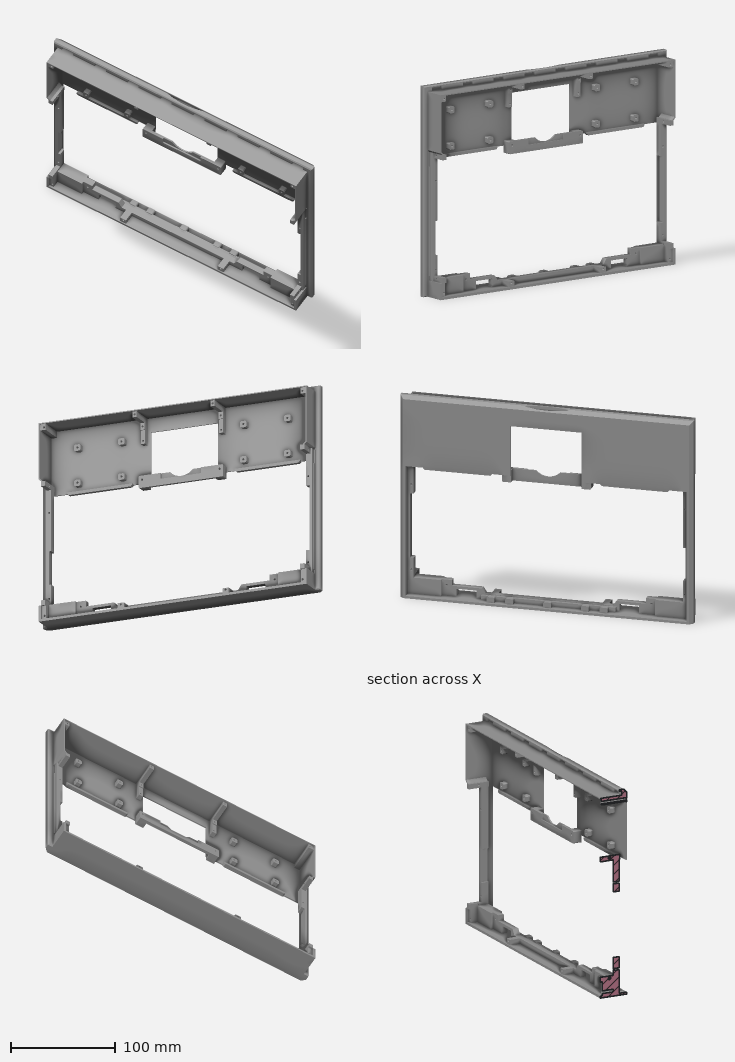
import cadquery as cq

FRAME_WIDTH = 290.0
FRAME_HEIGHT = 205.52
TOTAL_DEPTH = 29.0
BEZEL_DEPTH = 8.7
BEZEL_FRONT_CHAMFER = 3.5
BEZEL_BACK_CHAMFER = 1.0

BODY_HALF_WIDTH = 140.0
BODY_TOP = 199.8
WALL = 1.0
FLOOR = 2.4
LOWER_WALL = 2.4
LOWER_WALL_TOP = 16.0
UPPER_WALL_BOTTOM = 143.0

PLATE_DEPTH = 1.2
PLATE_BOTTOM = 134.2
WINDOW_HALF_WIDTH = 35.0
WINDOW_TOP = 184.6

BLOCK_OUTER = BODY_HALF_WIDTH - LOWER_WALL
BLOCK_BOTTOM = 136.0
BLOCK_TOP = 141.0

RAIL_INNER = 133.2
RAIL_OUTER = 139.2
RAIL_FRONT = 8.0
RAIL_BACK = 15.0
LEFT_NOTCH_X = 135.6
LEFT_NOTCH_Z = (40.8, 74.4)
RIGHT_NOTCH_X = 136.6
RIGHT_NOTCH_Z = (39.0, 104.0)

SCREW_HOLE = 2.2
SMALL_HOLE = 2.0


def block(x_range, depth_range, z_range):
    """Box between two X values, two depths behind the display face and two heights."""
    x0, x1 = sorted(x_range)
    d0, d1 = depth_range
    z0, z1 = z_range
    return cq.Workplane("XY").box(x1 - x0, d1 - d0, z1 - z0, centered=False).translate((x0, -d1, z0))


def prism(outline, depth_range):
    """Extrude a closed X-Z outline between two depths."""
    d0, d1 = depth_range
    return cq.Workplane("XZ", origin=(0, -d0, 0)).polyline(outline).close().extrude(d1 - d0)


def hole(x, z, diameter, depth_range):
    """Cylinder along Y used to cut a screw hole."""
    d0, d1 = depth_range
    return cq.Workplane("XZ", origin=(x, -d0, z)).circle(diameter / 2).extrude(d1 - d0)


def mirrored(shape):
    """The shape together with its mirror image across X = 0."""
    return shape.union(shape.mirror("YZ"))


def bezel():
    """Outer ring, bevelled on the front at the top and sides and broken on the back edge."""
    half = FRAME_WIDTH / 2
    ring = block((-half, half), (0, BEZEL_DEPTH), (0, FRAME_HEIGHT))
    ring = ring.faces(">Y").edges("not <Z").chamfer(BEZEL_FRONT_CHAMFER)
    ring = ring.faces("<Y").edges().chamfer(BEZEL_BACK_CHAMFER)
    inner = BODY_HALF_WIDTH - WALL
    opening = block((-inner, inner), (0, BEZEL_DEPTH), (FLOOR, BODY_TOP - WALL))
    return ring.cut(opening)


def thumb_scoop():
    """Lens-shaped finger groove sunk from above into the middle of the top bevel."""
    half_width = 22.0
    tip_depth, front_depth, back_depth = 2.8, 1.2, 6.1
    sink = 4.5
    lens = cq.Workplane("XY", origin=(0, 0, FRAME_HEIGHT - sink)).moveTo(-half_width, -tip_depth)
    lens = lens.threePointArc((0, -front_depth), (half_width, -tip_depth))
    lens = lens.threePointArc((0, -back_depth), (-half_width, -tip_depth))
    return lens.close().extrude(sink)


def latch_pockets():
    """Eight evenly spaced pockets in the back of the top bezel strip."""
    count = 8
    pitch = 36.9
    half_width = 6.2
    height = 3.7
    depth = 3.0
    depths = (BEZEL_DEPTH - depth, BEZEL_DEPTH)
    heights = (BODY_TOP, BODY_TOP + height)
    pockets = cq.Workplane("XY")
    for index in range(count):
        x = (index - (count - 1) / 2) * pitch
        pockets = pockets.union(block((x - half_width, x + half_width), depths, heights))
    return pockets


def body_walls():
    """Top wall, upper side walls, floor and lower side walls of the housing."""
    w = BODY_HALF_WIDTH
    depths = (BEZEL_DEPTH - BEZEL_BACK_CHAMFER, TOTAL_DEPTH)
    walls = block((-w, w), depths, (BODY_TOP - WALL, BODY_TOP))
    walls = walls.union(block((-w, w), (0, TOTAL_DEPTH), (0, FLOOR)))
    side = block((-w, WALL - w), depths, (UPPER_WALL_BOTTOM, BODY_TOP))
    side = side.union(block((-w, LOWER_WALL - w), depths, (0, LOWER_WALL_TOP)))
    return walls.union(mirrored(side))


def panel_plate():
    """Thin plate across the upper part, open at the central window, with stiffening lips below."""
    edge = BODY_HALF_WIDTH - WALL
    plate = block((-edge, edge), (0, PLATE_DEPTH), (PLATE_BOTTOM, BODY_TOP - WALL))
    window_x = (-WINDOW_HALF_WIDTH, WINDOW_HALF_WIDTH)
    plate = plate.cut(block(window_x, (0, PLATE_DEPTH), (PLATE_BOTTOM, WINDOW_TOP)))
    lip_start, lip_end = -121.7, -53.5
    lip_bottom, lip_top = 132.3, 135.2
    lip_corner = 1.5
    lip_depth = 4.0
    lip = block((lip_start, lip_end), (0, lip_depth), (lip_bottom, lip_top))
    lip = lip.edges("|Y and <Z").chamfer(lip_corner)
    return plate.union(mirrored(lip))


def plate_bosses():
    """Square screw bosses on the plate."""
    size = 6.5
    height = 6.5
    corner = 1.0
    bosses = cq.Workplane("XY")
    for x in (-109.7, -63.7):
        for z in (142.6, 178.0):
            boss = block((x - size / 2, x + size / 2), (PLATE_DEPTH, height), (z - size / 2, z + size / 2))
            boss = boss.edges("|Y").chamfer(corner)
            bosses = bosses.union(boss.cut(hole(x, z, SCREW_HOLE, (PLATE_DEPTH, height))))
    return mirrored(bosses)


def window_posts():
    """Stepped screw posts beside the window, deepest under the top wall."""
    x_range = (-43.0, -38.6)
    centre = sum(x_range) / 2
    bottom, step, top_block = 172.2, 186.0, 193.0
    low_depth, high_depth = 7.0, 27.0
    post = block(x_range, (0, low_depth), (bottom, BODY_TOP - WALL))
    post = post.union(block(x_range, (0, low_depth + WALL), (step, top_block)))
    post = post.union(block(x_range, (0, high_depth), (top_block, BODY_TOP - WALL)))
    for z in (175.3, 189.3, 195.8):
        post = post.cut(hole(centre, z, SMALL_HOLE, (PLATE_DEPTH, TOTAL_DEPTH)))
    return mirrored(post)


def window_bridge():
    """Bar below the window, thinned at its middle and dipped by an arc."""
    half_length = 44.0
    bottom, top = 127.1, 139.4
    back, front = 10.0, 7.0
    end_front = 1.0
    corner = 1.0
    bar = block((-half_length, half_length), (end_front, back), (bottom, top)).edges("|Y").fillet(corner)
    bar = bar.cut(block((-WINDOW_HALF_WIDTH, WINDOW_HALF_WIDTH), (end_front, front), (bottom, top)))
    recess_half, recess_bottom, recess_depth = 21.0, 133.5, 1.5
    bar = bar.cut(block((-recess_half, recess_half), (back - recess_depth, back), (recess_bottom, top)))
    dip_half, dip = 12.0, 5.3
    radius = (dip_half**2 + dip**2) / (2 * dip)
    bar = bar.cut(hole(0, top - dip + radius, 2 * radius, (end_front, back)))
    hole_x, hole_z = 40.5, 135.2
    for x in (-hole_x, hole_x):
        bar = bar.cut(hole(x, hole_z, SCREW_HOLE, (end_front, back)))
    return bar


def corner_bosses():
    """Screw bosses in the corners and end blocks of the side walls, with cross pin holes."""
    top_z = 192.6
    top_hole_x, top_hole_z = -135.0, 195.2
    low_hole_x, low_hole_z = -134.7, 5.8
    ramp_end = -136.0
    edge = BODY_HALF_WIDTH - WALL
    top = block((-edge, -RAIL_INNER), (0, TOTAL_DEPTH - WALL), (top_z, BODY_TOP - WALL))
    top = top.cut(hole(top_hole_x, top_hole_z, SCREW_HOLE, (PLATE_DEPTH, TOTAL_DEPTH)))
    wall_end_outline = [
        (-BODY_HALF_WIDTH, UPPER_WALL_BOTTOM),
        (-edge, UPPER_WALL_BOTTOM + WALL),
        (ramp_end, BLOCK_TOP),
        (-RAIL_INNER, BLOCK_TOP),
        (-RAIL_INNER, BLOCK_BOTTOM),
        (-BLOCK_OUTER, BLOCK_BOTTOM),
        (-BLOCK_OUTER, BLOCK_TOP),
    ]
    wall_end = prism(wall_end_outline, (BEZEL_DEPTH - BEZEL_BACK_CHAMFER, TOTAL_DEPTH))
    low_top = 21.2
    low_recess = 2.0
    low = block((-BLOCK_OUTER, -RAIL_INNER), (RAIL_FRONT, TOTAL_DEPTH), (FLOOR, low_top))
    recess_depths = (TOTAL_DEPTH - low_recess, TOTAL_DEPTH)
    low = low.cut(block((-BLOCK_OUTER, -RAIL_INNER), recess_depths, (FLOOR, LOWER_WALL_TOP)))
    low = low.cut(hole(low_hole_x, low_hole_z, SCREW_HOLE, (RAIL_BACK, TOTAL_DEPTH)))
    bosses = top.union(wall_end).union(low)
    pin_depth = 18.8
    for z in (138.7, 18.6):
        pin_hole = cq.Workplane("YZ", origin=(-BLOCK_OUTER, -pin_depth, z)).circle(SMALL_HOLE / 2)
        bosses = bosses.cut(pin_hole.extrude(BLOCK_OUTER - RAIL_INNER))
    return mirrored(bosses)


def side_rail(side, notch_x, notch_z):
    """Vertical rail along one side (side is -1 or 1) with a shallow notch in its inner edge."""
    z_range = (FLOOR, BLOCK_TOP)
    hole_x = 135.3
    rail = block((side * RAIL_OUTER, side * RAIL_INNER), (RAIL_FRONT, RAIL_BACK), z_range)
    ledge_top, ledge_bottom = 127.0, 20.5
    upper_ledge_back, ledge_back = 9.7, 11.4
    ledge_x = (side * BODY_HALF_WIDTH, side * RAIL_INNER)
    rail = rail.union(block(ledge_x, (RAIL_FRONT, upper_ledge_back), z_range))
    rail = rail.union(block(ledge_x, (RAIL_FRONT, ledge_back), (ledge_bottom, ledge_top)))
    rail = rail.cut(block((side * RAIL_INNER, side * notch_x), (RAIL_FRONT, RAIL_BACK), notch_z))
    for z in (26.7, 113.2):
        rail = rail.cut(hole(side * hole_x, z, SMALL_HOLE, (RAIL_FRONT, RAIL_BACK)))
    return rail


def bottom_wall():
    """Low wall along the floor rising in steps to end blocks, with slots, clips and front tabs."""
    low_z, mid_z, block_z = 7.8, 13.0, 18.8
    ramp_inner, ramp_outer = 63.0, 66.5
    mid_end, post_end = 96.0, 105.8
    wall_front, wall_back, block_back = 11.5, 17.2, 20.0
    step_front = 11.0
    lip_front, lip_z = 8.0, 7.2

    wall = block((-ramp_outer, ramp_outer), (wall_front, wall_back), (FLOOR, low_z))
    wall = wall.union(block((-ramp_outer, ramp_outer), (lip_front, wall_front), (FLOOR, lip_z)))

    step_outline = [
        (-ramp_inner, FLOOR),
        (-ramp_inner, low_z),
        (-ramp_outer, mid_z),
        (-mid_end, mid_z),
        (-mid_end, block_z),
        (-post_end, block_z),
        (-post_end, FLOOR),
    ]
    steps = prism(step_outline, (step_front, wall_back))
    steps = steps.union(block((-RAIL_INNER, -post_end), (RAIL_FRONT, block_back), (FLOOR, block_z)))
    post_hole_x, post_hole_z = -101.3, 13.4
    steps = steps.cut(hole(post_hole_x, post_hole_z, SMALL_HOLE, (step_front, wall_back)))

    clip_x = (-58.0, -51.5)
    clip_hole_z = 6.0
    clip = block(clip_x, (wall_back, TOTAL_DEPTH - WALL), (FLOOR, low_z))
    steps = steps.union(clip.cut(hole(sum(clip_x) / 2, clip_hole_z, SMALL_HOLE, (RAIL_BACK, TOTAL_DEPTH))))
    wall = wall.union(mirrored(steps))

    slot_top, slot_corner = 10.4, 1.0
    for slot_x in ((-89.0, -69.5), (72.0, 91.5)):
        slot = block(slot_x, (0, block_back), (FLOOR, slot_top))
        wall = wall.cut(slot.edges("|Y and >X").fillet(slot_corner))

    tab_half, tab_depths, tab_round = 3.9, (3.0, 9.0), 1.5
    for x in (-56.0, -37.5, 0.0, 37.5, 56.0):
        tab = block((x - tab_half, x + tab_half), tab_depths, (FLOOR, low_z))
        wall = wall.union(tab.edges("|Y and >Z").fillet(tab_round))
    return wall


result = bezel().cut(thumb_scoop()).cut(latch_pockets())
result = result.union(body_walls())
result = result.union(panel_plate())
result = result.union(plate_bosses())
result = result.union(window_posts())
result = result.union(window_bridge())
result = result.union(corner_bosses())
result = result.union(side_rail(-1, LEFT_NOTCH_X, LEFT_NOTCH_Z))
result = result.union(side_rail(1, RIGHT_NOTCH_X, RIGHT_NOTCH_Z))
result = result.union(bottom_wall())